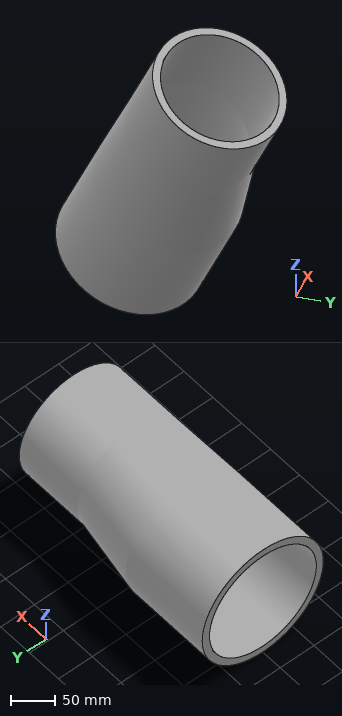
import cadquery as cq

total_length = 340.0
large_length = 132.0
small_length = 102.0
large_outer_diameter = 180.0
large_bore_diameter = 158.5
small_outer_diameter = 160.0
small_bore_diameter = 141.0

taper_length = total_length - large_length - small_length
taper_end = large_length + taper_length
small_end_y = -(large_outer_diameter - small_outer_diameter) / 2


def cylinder(start_x, length, center_y, diameter):
    """Cylinder running in +X from start_x."""
    return (
        cq.Workplane("YZ", origin=(start_x, center_y, 0))
        .circle(diameter / 2)
        .extrude(length)
    )


def eccentric_taper(large_diameter, small_diameter):
    """Ruled transition between the two straight ends."""
    return (
        cq.Workplane("YZ", origin=(large_length, 0, 0))
        .circle(large_diameter / 2)
        .workplane(offset=taper_length)
        .center(small_end_y, 0)
        .circle(small_diameter / 2)
        .loft(ruled=True)
    )


def reducer_section(start_diameter, end_diameter):
    """Solid reducer shape: large cylinder, eccentric taper, small cylinder."""
    large_end = cylinder(0, large_length, 0, start_diameter)
    small_end = cylinder(taper_end, small_length, small_end_y, end_diameter)
    taper = eccentric_taper(start_diameter, end_diameter)
    return large_end.union(taper).union(small_end)


outer_body = reducer_section(large_outer_diameter, small_outer_diameter)
bore = reducer_section(large_bore_diameter, small_bore_diameter)

result = outer_body.cut(bore)